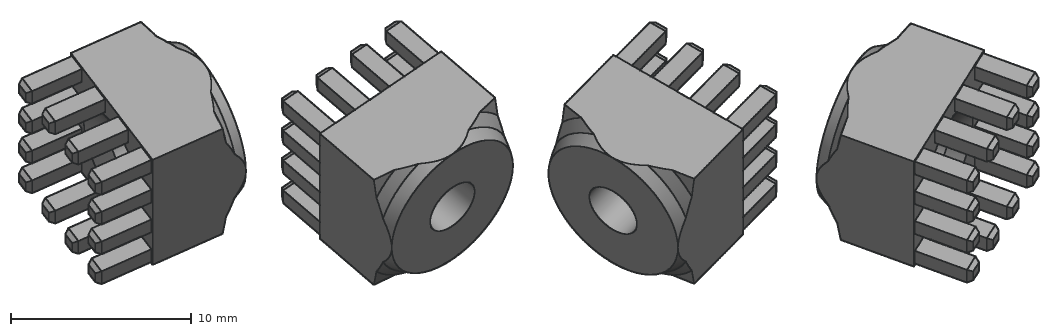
import cadquery as cq
import math

side = 9.0
depth = 6.0
half_side = side / 2
corner_radius = half_side * math.sqrt(2)

shoulder_corner_y = 4.5
inner_ridge = (4.87, 5.27)
outer_ridge = (5.5, 4.72)

hole_diameter = 3.3
mouth_diameter = 6.1
mouth_angle = 120.0

pin_count = 4
pin_pitch = 2.55
pin_width = 1.1
pin_length = 3.5
tip_length = 0.3
tip_angle = 30.0

clearance = 1.0


def make_body():
    block = cq.Workplane("XY").box(side, depth, side).translate((0, depth / 2, 0))
    return block.cut(make_shoulder_cutter())


def make_shoulder_cutter():
    """Ring whose inner side is the three-cone shoulder, from mid-side to corner."""
    outer_radius = corner_radius + clearance
    return (
        cq.Workplane("XY")
        .moveTo(half_side, depth)
        .lineTo(*inner_ridge)
        .lineTo(*outer_ridge)
        .lineTo(corner_radius, shoulder_corner_y)
        .lineTo(outer_radius, shoulder_corner_y)
        .lineTo(outer_radius, depth + clearance)
        .lineTo(half_side, depth + clearance)
        .close()
        .revolve(360, (0, 0, 0), (0, 1, 0))
    )


def make_hole_cutter():
    """Through hole about the Y axis, flaring to the mouth at the front face."""
    hole_radius = hole_diameter / 2
    mouth_radius = mouth_diameter / 2
    mouth_depth = (mouth_radius - hole_radius) / math.tan(math.radians(mouth_angle / 2))
    return (
        cq.Workplane("XY")
        .moveTo(0, 0)
        .lineTo(mouth_radius, 0)
        .lineTo(hole_radius, mouth_depth)
        .lineTo(hole_radius, depth + clearance)
        .lineTo(0, depth + clearance)
        .close()
        .revolve(360, (0, 0, 0), (0, 1, 0))
    )


def make_pin(x, z):
    """Square pin pointing to -Y with a tapered tip."""
    shank_length = pin_length - tip_length
    shank = cq.Workplane("XZ").center(x, z).rect(pin_width, pin_width).extrude(shank_length)
    tip = (
        cq.Workplane("XZ", origin=(0, -shank_length, 0))
        .center(x, z)
        .rect(pin_width, pin_width)
        .extrude(tip_length, taper=tip_angle)
    )
    return shank.union(tip)


result = make_body().cut(make_hole_cutter())

offsets = [(i - (pin_count - 1) / 2) * pin_pitch for i in range(pin_count)]
outer_offsets = (offsets[0], offsets[-1])
for x in offsets:
    for z in offsets:
        if x in outer_offsets or z in outer_offsets:
            result = result.union(make_pin(x, z))